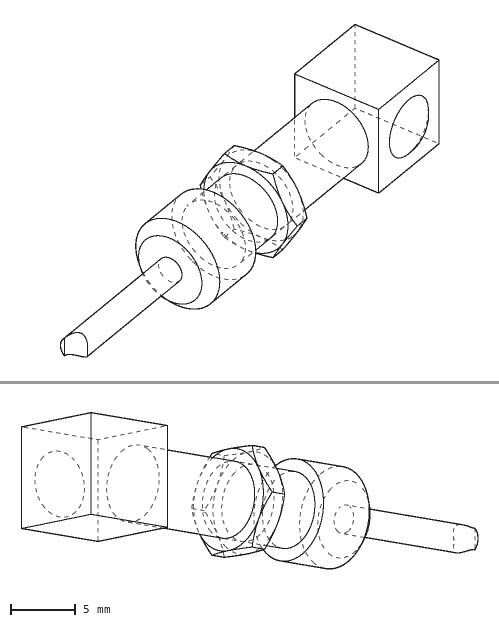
import cadquery as cq
import math

TOTAL_LENGTH = 43.0

HEAD_SIZE = 8.0
HEAD_FRONT_Y = TOTAL_LENGTH - HEAD_SIZE

LENS_DIAMETER = 5.15
LENS_HEIGHT = 1.0

BARREL_DIAMETER = 6.0
GLAND_DIAMETER = HEAD_SIZE
GLAND_FRONT_Y = 13.0
GLAND_LENGTH = 5.75
GLAND_BACK_Y = GLAND_FRONT_Y + GLAND_LENGTH
GLAND_CHAMFER = (GLAND_DIAMETER - BARREL_DIAMETER) / 2

CABLE_DIAMETER = 2.25
SCOOP_RADIUS = 1.0
SCOOP_OFFSET_X = 0.25

NUT_ACROSS_FLATS = HEAD_SIZE
NUT_ACROSS_CORNERS = NUT_ACROSS_FLATS * 2 / math.sqrt(3)
NUT_THICKNESS = 2.0
NUT_FRONT_Y = 23.0
NUT_CHAMFER_ANGLE = 30.0


def rod(diameter, start_y, end_y):
    """Round bar along the Y axis from start_y to end_y."""
    plane = cq.Workplane("XZ", origin=(0, start_y, 0))
    return plane.circle(diameter / 2).extrude(start_y - end_y)


def make_head():
    head_center_y = HEAD_FRONT_Y + HEAD_SIZE / 2
    return cq.Workplane("XY").box(HEAD_SIZE, HEAD_SIZE, HEAD_SIZE).translate((0, head_center_y, 0))


def make_lens():
    """Spherical cap standing on the +X face of the head."""
    rim_radius = LENS_DIAMETER / 2
    sphere_radius = (rim_radius**2 + LENS_HEIGHT**2) / (2 * LENS_HEIGHT)
    face_x = HEAD_SIZE / 2
    sphere_center_x = face_x + LENS_HEIGHT - sphere_radius
    mid_angle = math.asin(rim_radius / sphere_radius) / 2
    mid_point = (
        sphere_center_x + sphere_radius * math.cos(mid_angle),
        sphere_radius * math.sin(mid_angle),
    )
    profile = (
        cq.Workplane("XY")
        .moveTo(face_x, 0)
        .lineTo(face_x, rim_radius)
        .threePointArc(mid_point, (face_x + LENS_HEIGHT, 0))
        .close()
    )
    lens = profile.revolve(360, (0, 0, 0), (1, 0, 0))
    return lens.translate((0, HEAD_FRONT_Y + HEAD_SIZE / 2, 0))


def make_gland():
    gland = rod(GLAND_DIAMETER, GLAND_FRONT_Y, GLAND_BACK_Y)
    return gland.faces("<Y").chamfer(GLAND_CHAMFER)


def make_cable():
    """Cable whose end is scooped out by a cylinder along Z."""
    cable = rod(CABLE_DIAMETER, 0, GLAND_FRONT_Y)
    scoop = (
        cq.Workplane("XY")
        .center(SCOOP_OFFSET_X, 0)
        .circle(SCOOP_RADIUS)
        .extrude(CABLE_DIAMETER, both=True)
    )
    return cable.cut(scoop)


def make_sensor():
    barrel = rod(BARREL_DIAMETER, GLAND_BACK_Y, HEAD_FRONT_Y)
    return make_head().union(make_lens()).union(barrel).union(make_gland()).union(make_cable())


def make_nut():
    """Hexagon with corners on the X axis, conically chamfered at both ends."""
    hexagon = (
        cq.Workplane("XZ", origin=(0, NUT_FRONT_Y, 0))
        .polygon(6, NUT_ACROSS_CORNERS)
        .extrude(-NUT_THICKNESS)
    )
    face_radius = NUT_ACROSS_FLATS / 2
    corner_radius = NUT_ACROSS_CORNERS / 2
    chamfer_depth = (corner_radius - face_radius) * math.tan(math.radians(NUT_CHAMFER_ANGLE))
    back_y = NUT_FRONT_Y + NUT_THICKNESS
    chamfer_envelope = (
        cq.Workplane("XY")
        .polyline([
            (0, NUT_FRONT_Y),
            (face_radius, NUT_FRONT_Y),
            (corner_radius, NUT_FRONT_Y + chamfer_depth),
            (corner_radius, back_y - chamfer_depth),
            (face_radius, back_y),
            (0, back_y),
        ])
        .close()
        .revolve(360, (0, 0, 0), (0, 1, 0))
    )
    bore = rod(BARREL_DIAMETER, NUT_FRONT_Y, back_y)
    return hexagon.intersect(chamfer_envelope).cut(bore)


sensor = make_sensor()
nut = make_nut()

result = cq.Compound.makeCompound([sensor.val(), nut.val()])